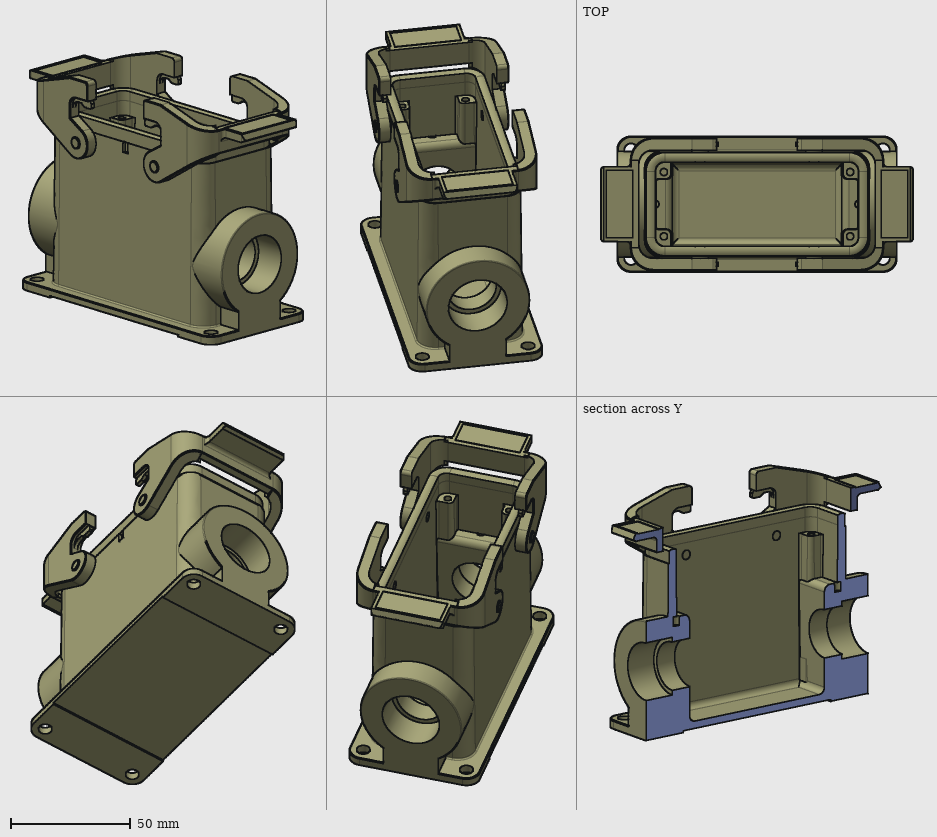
import cadquery as cq
import math

FLANGE_LENGTH = 117.3
FLANGE_WIDTH = 57.0
FLANGE_THICKNESS = 3.8
FLANGE_EDGE_CHAMFER = 0.4
FLANGE_CORNER_RADIUS = 5.9
FLANGE_HOLE_DIAMETER = 5.6
UNDERSIDE_RELIEF_LENGTH = 77.8
UNDERSIDE_RELIEF_DEPTH = 0.8

BODY_LENGTH = 95.3
BODY_WIDTH = 45.0
BODY_CORNER_RADIUS = 7.7
BODY_DRAFT_DEGREES = 0.6
BODY_HEIGHT = 75.1
BODY_FOOT_FILLET = 0.7
LIP_LENGTH = 93
LIP_WIDTH = 43.2
LIP_THICKNESS = 3.9
LIP_OVERLAP = 1.3
RIM_HEIGHT = 81.2
RIM_CROWN_RISE = 0.5
NOTCH_WIDTH = 3.0
NOTCH_LENGTH = 4.6
NOTCH_DEPTH = 1.3

CAVITY_LENGTH = LIP_LENGTH - 2 * LIP_THICKNESS
CAVITY_WIDTH = LIP_WIDTH - 2 * LIP_THICKNESS
CAVITY_CORNER_RADIUS = BODY_CORNER_RADIUS - LIP_THICKNESS
CAVITY_FLOOR = 4.2
CAVITY_DRAFT_DEGREES = 0.7
CAVITY_DRAFT_TOP = 76.5
FLOOR_FILLET = 2.7

ENTRY_HEIGHT = 30.1
ENTRY_RADIUS = 22.1
ENTRY_EDGE_FILLET = 0.4
ENTRY_BORE_DIAMETER = 25.0
ENTRY_BORE_DEPTH = 13.7
ENTRY_HOLE_DIAMETER = 21
PEDESTAL_WIDTH = 24.1
BLOCK_THICKNESS = 7.1
BLOCK_TOP = 51.3
BLOCK_TOP_FILLET = 2.9
BLOCK_HOLE_DIAMETER = 3.0
BLOCK_HOLE_DEPTH = 3.9

POST_TOP = 69.9
POST_LENGTH = 6.4
POST_WIDTH = 7.1
POST_CORNER_RADIUS = 2.0
POST_ROOT_FILLET = 1.2
SCREW_HOLE_DIAMETER = 3.0
SCREW_HOLE_DEPTH = 13.1
SCREW_HOLE_X = 39.0
SCREW_HOLE_Y = 13.5

LEVER_WIDTH = 55.5
ARM_THICKNESS = 5.1
CATCH_RELIEF = 1.7
BAND_OUTER_X = -53.0
BAND_THICKNESS = 3.5
BAND_OUTER_RADIUS = 9.4
BAND_BOTTOM = 81.0
BAND_TOP = 91.4
LEVER_TOP = 98.8
ARM_CREST_X = -27.4
HOOK_TIP_X = -16.9
HOOK_CORNER_RADIUS = 1.6
HOOK_UNDERSIDE = 90.5
THROAT_X = -27.4
THROAT_RADIUS = 3.5
NUB_TIP_X = -16.2
NUB_BOTTOM = 86.9
NUB_TIP_BEVEL_RUN = 0.7
NUB_TIP_BEVEL_RISE = 0.5
NUB_SHOULDER_DROP = 1.3
NUB_REAR_X = -20.2
NUB_POCKET_TOP = 88.4
NUB_POCKET_FRONT_X = -22.4
NUB_POCKET_REAR_X = -24.3
NUB_POCKET_RADIUS = NUB_POCKET_REAR_X - THROAT_X
EYE_RADIUS = 7.0
EYE_ARC_MIDDLE_DEGREES = -30
ARM_EDGE_CHAMFER = 0.4
PIN_X = -23.8
PIN_Z = 71.0
PIN_DIAMETER = 4.0
PIN_HEAD_DIAMETER = 5.1
PIN_HEAD_HEIGHT = 0.5
PIN_HEAD_CHAMFER = 0.4
PIN_COLLAR_DIAMETER = 7.0

TAB_TIP_X = -65.5
TAB_WIDTH = 31.4
TAB_BOTTOM = 87.8
TAB_TIP_SLOPE_RUN = 1.3
TAB_NOSE_Z = 88.8
TAB_NOSE_SETBACK = 1.6
TAB_CORNER_RADIUS = 1.6
TAB_ROOT_FILLET = 1.6
TAB_PANEL_START_X = -63.1
TAB_PANEL_END_X = -52.0
TAB_PANEL_WIDTH = 28.3
TAB_PANEL_DEPTH = 0.3

ENDS = (-1, 1)


def rounded_block(length, width, radius, bottom, top):
    """Upright rectangular block with rounded vertical corners, centred on the Z axis."""
    block = cq.Workplane("XY").workplane(offset=bottom).rect(length, width).extrude(top - bottom)
    return block.edges("|Z").fillet(radius)


def cylinder_x(diameter, x_start, x_end):
    """Cylinder along X on the cable entry axis."""
    section = cq.Workplane("YZ", origin=(x_start, 0, ENTRY_HEIGHT)).circle(diameter / 2)
    return section.extrude(x_end - x_start)


def cylinder_y(diameter, y_start, y_end):
    """Cylinder along Y on the lever pivot axis of the -X end."""
    section = cq.Workplane("XZ", origin=(PIN_X, y_start, PIN_Z)).circle(diameter / 2)
    return section.extrude(y_start - y_end)


def plan_edges(length, width, height):
    """Selects the edges at one height that lie within a rectangle centred on the Z axis."""
    margin = 0.1
    corner = (length / 2 + margin, width / 2 + margin, height + margin)
    opposite = (-length / 2 - margin, -width / 2 - margin, height - margin)
    return cq.selectors.BoxSelector(opposite, corner)


def make_flange():
    flange = rounded_block(FLANGE_LENGTH, FLANGE_WIDTH, FLANGE_CORNER_RADIUS, 0, FLANGE_THICKNESS)
    flange = flange.faces(">Z").edges().chamfer(FLANGE_EDGE_CHAMFER)
    hole_spacing_x = FLANGE_LENGTH - 2 * FLANGE_CORNER_RADIUS
    hole_spacing_y = FLANGE_WIDTH - 2 * FLANGE_CORNER_RADIUS
    holes = cq.Workplane("XY").rect(hole_spacing_x, hole_spacing_y, forConstruction=True).vertices()
    return flange.cut(holes.circle(FLANGE_HOLE_DIAMETER / 2).extrude(FLANGE_THICKNESS))


def make_walls():
    """Drafted outer block, not yet hollow."""
    sketch = cq.Sketch().rect(BODY_LENGTH, BODY_WIDTH).vertices().fillet(BODY_CORNER_RADIUS)
    return cq.Workplane("XY").placeSketch(sketch).extrude(BODY_HEIGHT, taper=BODY_DRAFT_DEGREES)


def make_lip():
    """Straight band above the drafted walls, closed by a crowned rim."""
    shoulder = RIM_HEIGHT - RIM_CROWN_RISE
    lip = rounded_block(LIP_LENGTH, LIP_WIDTH, BODY_CORNER_RADIUS, BODY_HEIGHT - LIP_OVERLAP, shoulder)
    half_width = (LIP_WIDTH - LIP_THICKNESS) / 2
    crown_path = (
        cq.Sketch()
        .rect(LIP_LENGTH - LIP_THICKNESS, LIP_WIDTH - LIP_THICKNESS)
        .vertices()
        .fillet(BODY_CORNER_RADIUS - LIP_THICKNESS / 2)
    )
    path = cq.Workplane("XY").workplane(offset=shoulder).placeSketch(crown_path)
    path_wire = path.extrude(1.3).faces("<Z").wires()
    crown = (
        cq.Workplane("YZ", origin=(0, half_width, shoulder))
        .moveTo(-LIP_THICKNESS / 2, 0)
        .threePointArc((0, RIM_CROWN_RISE), (LIP_THICKNESS / 2, 0))
        .close()
        .sweep(path_wire)
    )
    return lip.union(crown)


def make_cable_entries():
    """Round boss at each end wall, with a straight pedestal down to the flange."""
    half_length = FLANGE_LENGTH / 2
    bosses = cylinder_x(2 * ENTRY_RADIUS, -half_length, half_length)
    bosses = bosses.faces("<X or >X").edges().fillet(ENTRY_EDGE_FILLET)
    flat_wall_length = BODY_LENGTH - 2 * BODY_CORNER_RADIUS
    bosses = bosses.cut(cq.Workplane("XY").box(flat_wall_length, BODY_WIDTH * 2, RIM_HEIGHT * 2))
    pedestal_height = ENTRY_HEIGHT - ENTRY_RADIUS / 2
    pedestal = cq.Workplane("XY").rect(FLANGE_LENGTH, PEDESTAL_WIDTH).extrude(pedestal_height)
    return bosses.union(pedestal)


def make_cavity():
    """Hollow of the housing, around the end blocks and the screw posts."""
    sketch = cq.Sketch().rect(CAVITY_LENGTH, CAVITY_WIDTH).vertices().fillet(CAVITY_CORNER_RADIUS)
    cavity = cq.Workplane("XY").workplane(offset=CAVITY_DRAFT_TOP).placeSketch(sketch)
    cavity = cavity.extrude(CAVITY_FLOOR - CAVITY_DRAFT_TOP, taper=CAVITY_DRAFT_DEGREES)
    for end in ENDS:
        cavity = cavity.cut(make_end_block(end))
    cavity = cavity.faces("<Z").edges().fillet(FLOOR_FILLET)
    for end in ENDS:
        for side in ENDS:
            cavity = cavity.cut(make_post(end, side))
    mouth = rounded_block(CAVITY_LENGTH, CAVITY_WIDTH, CAVITY_CORNER_RADIUS, CAVITY_DRAFT_TOP, RIM_HEIGHT)
    return cavity.union(mouth, clean=False)


def make_end_block(end):
    """Thicker lower part of an end wall, carrying the cable entry hole."""
    centre_x = end * (CAVITY_LENGTH - BLOCK_THICKNESS) / 2
    block = cq.Workplane("XY").center(centre_x, 0).rect(BLOCK_THICKNESS, CAVITY_WIDTH).extrude(BLOCK_TOP)
    inner_face = "<X" if end > 0 else ">X"
    return block.faces(inner_face).edges(">Z").fillet(BLOCK_TOP_FILLET)


def make_post(end, side):
    """Screw post in one cavity corner, widening downwards with the cavity draft."""
    overlap = CAVITY_CORNER_RADIUS
    root = POST_ROOT_FILLET
    corner = POST_CORNER_RADIUS
    post = (
        cq.Workplane("XY", origin=(CAVITY_LENGTH / 2, CAVITY_WIDTH / 2, POST_TOP))
        .moveTo(overlap, overlap)
        .lineTo(-POST_LENGTH - root, overlap)
        .lineTo(-POST_LENGTH - root, 0)
        .radiusArc((-POST_LENGTH, -root), root)
        .lineTo(-POST_LENGTH, corner - POST_WIDTH)
        .radiusArc((corner - POST_LENGTH, -POST_WIDTH), -corner)
        .lineTo(-root, -POST_WIDTH)
        .radiusArc((0, -POST_WIDTH - root), root)
        .lineTo(overlap, -POST_WIDTH - root)
        .close()
        .extrude(-POST_TOP, taper=-CAVITY_DRAFT_DEGREES)
    )
    if end < 0:
        post = post.mirror("YZ")
    if side < 0:
        post = post.mirror("XZ")
    return post


def make_vertical_holes():
    """Screw holes in the posts and a small hole in the top of each end block."""
    screw_holes = (
        cq.Workplane("XY", origin=(0, 0, POST_TOP - SCREW_HOLE_DEPTH))
        .rect(2 * SCREW_HOLE_X, 2 * SCREW_HOLE_Y, forConstruction=True)
        .vertices()
        .circle(SCREW_HOLE_DIAMETER / 2)
        .extrude(SCREW_HOLE_DEPTH)
    )
    block_holes = (
        cq.Workplane("XY", origin=(0, 0, BLOCK_TOP - BLOCK_HOLE_DEPTH))
        .pushPoints([(end * CAVITY_LENGTH / 2, 0) for end in ENDS])
        .circle(BLOCK_HOLE_DIAMETER / 2)
        .extrude(BLOCK_HOLE_DEPTH)
    )
    return screw_holes.union(block_holes)


def make_housing():
    housing = make_flange().union(make_walls())
    foot = plan_edges(BODY_LENGTH, BODY_WIDTH, FLANGE_THICKNESS)
    housing = housing.edges(foot).fillet(BODY_FOOT_FILLET)
    housing = housing.union(make_lip()).union(make_cable_entries())
    housing = housing.cut(make_cavity())

    half_length = FLANGE_LENGTH / 2
    bore_end = half_length - ENTRY_BORE_DEPTH
    housing = housing.cut(cylinder_x(ENTRY_HOLE_DIAMETER, -half_length, half_length))
    for end in ENDS:
        housing = housing.cut(cylinder_x(ENTRY_BORE_DIAMETER, end * half_length, end * bore_end))
    housing = housing.cut(make_vertical_holes())

    relief = cq.Workplane("XY").rect(UNDERSIDE_RELIEF_LENGTH, FLANGE_WIDTH).extrude(UNDERSIDE_RELIEF_DEPTH)
    housing = housing.cut(relief)

    notch_base = BODY_HEIGHT - NOTCH_LENGTH
    for side in ENDS:
        notch = cq.Workplane("XY", origin=(0, side * LIP_WIDTH / 2, notch_base))
        notch = notch.rect(NOTCH_WIDTH, 2 * NOTCH_DEPTH).extrude(NOTCH_LENGTH)
        housing = housing.cut(notch)

    pivot_hole = cylinder_y(PIN_DIAMETER, -BODY_WIDTH / 2, BODY_WIDTH / 2)
    return housing.cut(pivot_hole).cut(pivot_hole.mirror("YZ"))


def eye_point(angle):
    """Point on the eye circle at an angle in radians."""
    return (PIN_X + EYE_RADIUS * math.cos(angle), PIN_Z + EYE_RADIUS * math.sin(angle))


def eye_tangent_point(point, turn):
    """Where the line from a point touches the eye circle; turn picks one of the two tangents."""
    dx = point[0] - PIN_X
    dz = point[1] - PIN_Z
    return eye_point(math.atan2(dz, dx) + turn * math.acos(EYE_RADIUS / math.hypot(dx, dz)))


def make_side_profile():
    """Side outline of the lever with its hook and eye, extruded across the full width."""
    throat = (THROAT_X, BAND_BOTTOM)
    heel = (BAND_OUTER_X, BAND_BOTTOM)
    eye_front = eye_tangent_point(throat, -1)
    eye_rear = eye_tangent_point(heel, 1)
    eye_middle = eye_point(math.radians(EYE_ARC_MIDDLE_DEGREES))
    outline = (
        cq.Workplane("XZ", origin=(0, LEVER_WIDTH / 2, 0))
        .moveTo(*heel)
        .lineTo(BAND_OUTER_X, BAND_TOP)
        .lineTo(ARM_CREST_X, LEVER_TOP)
        .lineTo(HOOK_TIP_X - HOOK_CORNER_RADIUS, LEVER_TOP)
        .radiusArc((HOOK_TIP_X, LEVER_TOP - HOOK_CORNER_RADIUS), HOOK_CORNER_RADIUS)
        .lineTo(HOOK_TIP_X, HOOK_UNDERSIDE)
        .lineTo(NUB_TIP_X, HOOK_UNDERSIDE - NUB_SHOULDER_DROP)
        .lineTo(NUB_TIP_X, NUB_BOTTOM + NUB_TIP_BEVEL_RISE)
        .lineTo(NUB_TIP_X - NUB_TIP_BEVEL_RUN, NUB_BOTTOM)
        .lineTo(NUB_REAR_X, NUB_BOTTOM)
        .lineTo(NUB_POCKET_FRONT_X, NUB_POCKET_TOP)
        .lineTo(NUB_POCKET_REAR_X, NUB_POCKET_TOP)
        .radiusArc((THROAT_X, NUB_POCKET_TOP - NUB_POCKET_RADIUS), -NUB_POCKET_RADIUS)
        .lineTo(*throat)
        .lineTo(*eye_front)
        .threePointArc(eye_middle, eye_rear)
        .close()
    )
    return outline.extrude(LEVER_WIDTH)


def make_plan_loop():
    """U-shaped band and arms, open towards +X."""
    length = NUB_TIP_X - BAND_OUTER_X + 1.3
    bottom = PIN_Z - EYE_RADIUS

    def half_round_slab(start_x, width, radius):
        slab = cq.Workplane("XY", origin=(start_x + length / 2, 0, bottom))
        slab = slab.rect(length, width).extrude(LEVER_TOP - bottom)
        return slab.edges("|Z and <X").fillet(radius)

    outside = half_round_slab(BAND_OUTER_X, LEVER_WIDTH, BAND_OUTER_RADIUS)
    inside = half_round_slab(
        BAND_OUTER_X + BAND_THICKNESS,
        LEVER_WIDTH - 2 * ARM_THICKNESS,
        BAND_OUTER_RADIUS - BAND_THICKNESS,
    )
    return outside.cut(inside)


def make_hook_relief():
    """Wider hook throat at both faces of each arm, leaving the catch nub in mid thickness."""
    length = NUB_TIP_X - THROAT_X + 1.3
    height = HOOK_UNDERSIDE - BAND_BOTTOM
    relief = cq.Workplane("XY", origin=(THROAT_X + length / 2, 0, BAND_BOTTOM))
    relief = relief.rect(length, LEVER_WIDTH).extrude(height)
    relief = relief.edges("|Y and <X and >Z").fillet(THROAT_RADIUS)
    nub_thickness = ARM_THICKNESS - 2 * CATCH_RELIEF
    for side in ENDS:
        nub_centre = side * (LEVER_WIDTH - ARM_THICKNESS) / 2
        nub_layer = cq.Workplane("XY", origin=(0, nub_centre, 0))
        relief = relief.cut(nub_layer.box(LEVER_WIDTH * 2, nub_thickness, LEVER_TOP * 2))
    return relief


def make_band_trim():
    """Levels the sloping top and bottom edges of the band between its rounded corners."""
    band = cq.Workplane("XY", origin=(BAND_OUTER_X + BAND_THICKNESS / 2, 0, 0))
    width = LEVER_WIDTH - 2 * BAND_OUTER_RADIUS
    above = band.workplane(offset=BAND_TOP).rect(BAND_THICKNESS, width).extrude(LEVER_TOP - BAND_TOP)
    below = band.workplane(offset=BAND_BOTTOM).rect(BAND_THICKNESS, width).extrude(PIN_Z - BAND_BOTTOM)
    return above.union(below)


def make_tab():
    """Thumb tab with a pointed nose and rounded plan corners."""
    root_x = BAND_OUTER_X + BAND_THICKNESS / 2
    tab = (
        cq.Workplane("XZ", origin=(0, TAB_WIDTH / 2, 0))
        .moveTo(root_x, BAND_TOP)
        .lineTo(TAB_TIP_X + TAB_TIP_SLOPE_RUN, BAND_TOP)
        .lineTo(TAB_TIP_X, TAB_NOSE_Z)
        .lineTo(TAB_TIP_X + TAB_NOSE_SETBACK, TAB_BOTTOM)
        .lineTo(root_x, TAB_BOTTOM)
        .close()
        .extrude(TAB_WIDTH)
    )
    plan = cq.Workplane("XY", origin=((TAB_TIP_X + root_x) / 2, 0, TAB_BOTTOM))
    plan = plan.rect(root_x - TAB_TIP_X, TAB_WIDTH).extrude(BAND_TOP - TAB_BOTTOM)
    return tab.intersect(plan.edges("|Z and <X").fillet(TAB_CORNER_RADIUS))


def make_tab_root():
    """Fillets where the tab sides and underside run into the band."""
    size = TAB_ROOT_FILLET
    height = BAND_TOP - TAB_BOTTOM
    root = cq.Workplane("XY", origin=(BAND_OUTER_X - size / 2, 0, TAB_BOTTOM - size))
    root = root.rect(size, TAB_WIDTH + 2 * size).extrude(height + size)
    side_cutters = (
        cq.Workplane("XY", origin=(BAND_OUTER_X - size, 0, TAB_BOTTOM - size))
        .pushPoints([(0, side * (TAB_WIDTH / 2 + size)) for side in ENDS])
        .circle(size)
        .extrude(height + size)
    )
    under_cutter = (
        cq.Workplane("XZ", origin=(0, TAB_WIDTH, 0))
        .center(BAND_OUTER_X - size, TAB_BOTTOM - size)
        .circle(size)
        .extrude(2 * TAB_WIDTH)
    )
    return root.cut(side_cutters).cut(under_cutter)


def make_tab_panel():
    """Shallow rectangular recess in the top of the tab."""
    length = TAB_PANEL_END_X - TAB_PANEL_START_X
    panel = cq.Workplane("XY", origin=(TAB_PANEL_START_X + length / 2, 0, BAND_TOP - TAB_PANEL_DEPTH))
    return panel.rect(length, TAB_PANEL_WIDTH).extrude(TAB_PANEL_DEPTH)


def make_lever(housing):
    """Lever at the -X end with its pivot pins seated in the housing wall."""
    lever = make_plan_loop().intersect(make_side_profile()).cut(make_hook_relief())
    lever = lever.faces("<Y or >Y").edges().chamfer(ARM_EDGE_CHAMFER)
    lever = lever.cut(make_band_trim()).union(make_tab()).union(make_tab_root())
    lever = lever.cut(make_tab_panel())
    for side in ENDS:
        arm_face = side * LEVER_WIDTH / 2
        head = cylinder_y(PIN_HEAD_DIAMETER, arm_face, arm_face + side * PIN_HEAD_HEIGHT)
        head = head.faces("<Y" if side < 0 else ">Y").edges().chamfer(PIN_HEAD_CHAMFER)
        collar = cylinder_y(PIN_COLLAR_DIAMETER, arm_face, side * LIP_WIDTH / 2).cut(housing)
        pin = cylinder_y(PIN_DIAMETER, arm_face, side * CAVITY_WIDTH / 2)
        lever = lever.union(head).union(collar).union(pin)
    return lever


housing = make_housing()
left_lever = make_lever(housing)
levers = [left_lever, left_lever.mirror("YZ")]

result = cq.Compound.makeCompound([housing.val(), *[lever.val() for lever in levers]])